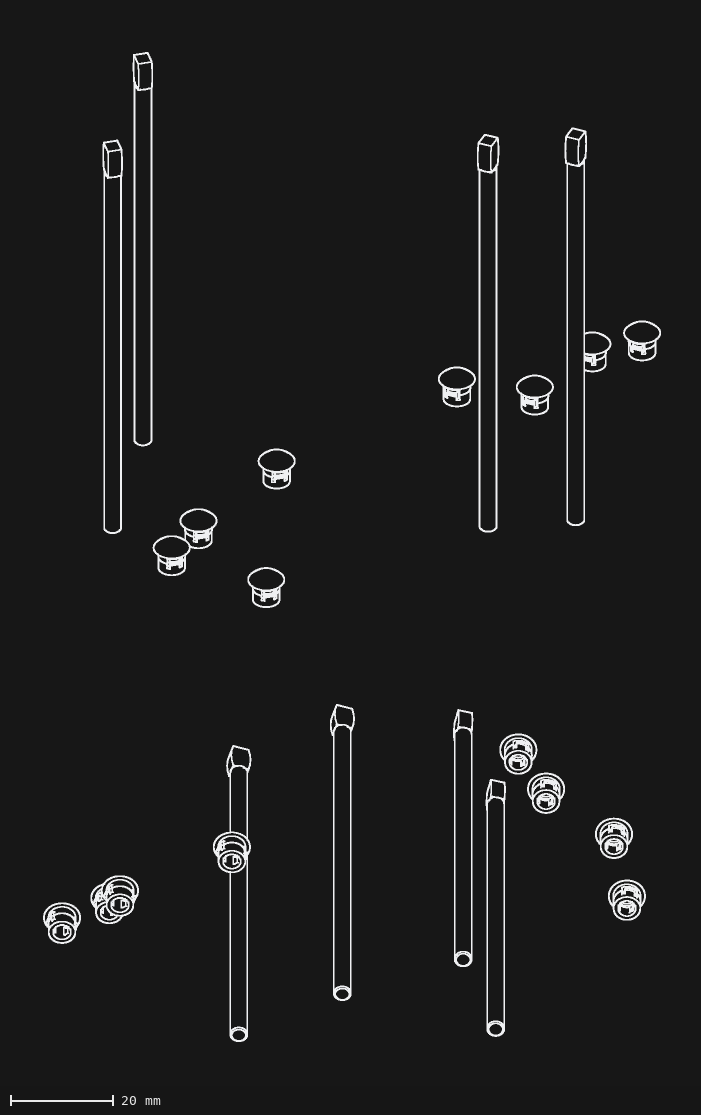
import cadquery as cq

OVERALL_HEIGHT = 98.6
PIN_LENGTH = 91.9
SHAFT_DIAMETER = 3.4
SHAFT_CHAMFER = 0.3
HEAD_HEIGHT = 6.3
HEAD_END_WIDTH = 3.2
HEAD_BULGE_WIDTH = 3.9
HEAD_THICKNESS = 2.8

CAP_DIAMETER = 7.1
CAP_HEIGHT = 6.5
TIP_DIAMETER = 1.1
RIM_BOTTOM = 4.7
STEM_UPPER_DIAMETER = 5.3
STEM_LOWER_DIAMETER = 5.2
STEM_STEP_HEIGHT = 2.7
BORE_DIAMETER = 3.5

SLOT_WIDTH = 0.6
SLOT_BOTTOM = 1.5
SLOT_TOP = 3.8
TONGUE_WIDTH = 1.9
BARB_REACH = 3.0
BARB_HEIGHT = 0.3
TONGUE_TOP = SLOT_TOP - SLOT_WIDTH

PIN_PLACES = [
    (0, 0, OVERALL_HEIGHT - PIN_LENGTH),
    (17.7, -10.9, 0),
]
CAP_PLACES = [
    (28.8, 19.1, 13.6),
    (47.15, -1.7, 16.0),
    (54.4, -9.1, 16.0),
    (49.2, 11.4, 0.8),
]


def make_pin():
    """Chamfered shaft standing on Z = 0, with the head on top."""
    shaft_length = PIN_LENGTH - HEAD_HEIGHT
    shaft = (
        cq.Workplane("XY")
        .circle(SHAFT_DIAMETER / 2)
        .extrude(shaft_length)
        .faces("<Z")
        .chamfer(SHAFT_CHAMFER)
    )
    end_x = HEAD_END_WIDTH / 2
    bulge_x = HEAD_BULGE_WIDTH / 2
    middle_z = shaft_length + HEAD_HEIGHT / 2
    head = (
        cq.Workplane("XZ")
        .moveTo(-end_x, shaft_length)
        .lineTo(end_x, shaft_length)
        .threePointArc((bulge_x, middle_z), (end_x, PIN_LENGTH))
        .lineTo(-end_x, PIN_LENGTH)
        .threePointArc((-bulge_x, middle_z), (-end_x, shaft_length))
        .close()
        .extrude(HEAD_THICKNESS / 2, both=True)
    )
    return shaft.union(head)


def revolved_cap():
    """Stem and dome, with the blind bore open at the bottom."""
    rim = CAP_DIAMETER / 2
    tip = TIP_DIAMETER / 2
    bore = BORE_DIAMETER / 2
    upper = STEM_UPPER_DIAMETER / 2
    lower = STEM_LOWER_DIAMETER / 2
    rise = CAP_HEIGHT - RIM_BOTTOM
    centre_z = RIM_BOTTOM + (rise**2 + tip**2 - rim**2) / (2 * rise)
    radius = ((RIM_BOTTOM - centre_z) ** 2 + rim**2) ** 0.5
    mid_x = (rim + tip) / 2
    mid_z = centre_z + (radius**2 - mid_x**2) ** 0.5
    return (
        cq.Workplane("XZ")
        .moveTo(bore, 0)
        .lineTo(lower, 0)
        .lineTo(lower, STEM_STEP_HEIGHT)
        .lineTo(upper, STEM_STEP_HEIGHT)
        .lineTo(upper, RIM_BOTTOM)
        .lineTo(rim, RIM_BOTTOM)
        .threePointArc((mid_x, mid_z), (tip, CAP_HEIGHT))
        .lineTo(0, CAP_HEIGHT)
        .lineTo(0, RIM_BOTTOM)
        .lineTo(bore, RIM_BOTTOM)
        .close()
        .revolve(360, (0, 0), (0, 1))
    )


def tongue_slots():
    """U-shaped cutter that runs through both sides of the stem."""
    window_width = TONGUE_WIDTH + 2 * SLOT_WIDTH
    window = cq.Workplane("XY").box(
        CAP_DIAMETER, window_width, SLOT_TOP - SLOT_BOTTOM, centered=(True, True, False)
    )
    tongue = cq.Workplane("XY").box(
        CAP_DIAMETER, TONGUE_WIDTH, TONGUE_TOP - SLOT_BOTTOM, centered=(True, True, False)
    )
    return window.cut(tongue).translate((0, 0, SLOT_BOTTOM))


def barb():
    """Catch on the +X tongue, with its underside level with the stem step."""
    root = (STEM_LOWER_DIAMETER + BORE_DIAMETER) / 4
    return (
        cq.Workplane("XY")
        .box(BARB_REACH - root, TONGUE_WIDTH, BARB_HEIGHT, centered=(False, True, False))
        .translate((root, 0, STEM_STEP_HEIGHT))
    )


def make_cap():
    """Hollow domed plug with two barbed tongues, standing on Z = 0."""
    cap = revolved_cap().cut(tongue_slots())
    for angle in (0, 180):
        cap = cap.union(barb().rotate((0, 0, 0), (0, 0, 1), angle))
    return cap


pins = [make_pin().translate(place).val() for place in PIN_PLACES]
caps = [make_cap().translate(place).val() for place in CAP_PLACES]

result = cq.Compound.makeCompound([*pins, *caps])